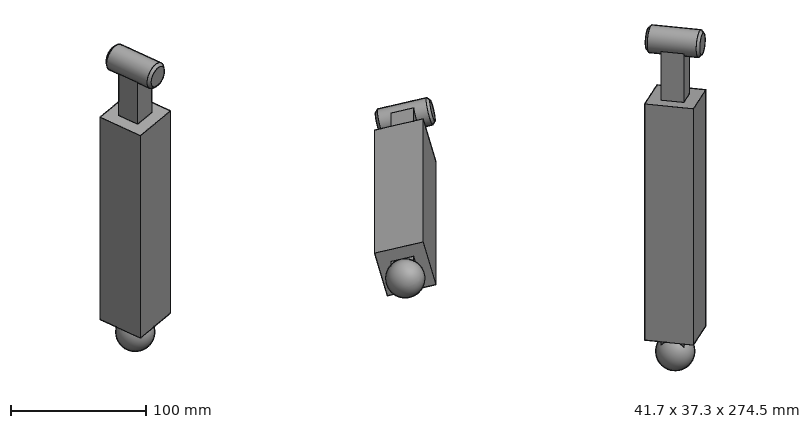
import cadquery as cq

total_height = 274.5
body_side = 37.3
body_bottom = 29.0
body_height = 190.3
stem_side = 17.5

ball_radius = 14.5

pin_length = 41.7
pin_radius = 10.5
pin_chamfer = 2.2

pin_axis_z = total_height - pin_radius

body = (
    cq.Workplane("XY")
    .workplane(offset=body_bottom)
    .rect(body_side, body_side)
    .extrude(body_height)
)

stem = (
    cq.Workplane("XY")
    .workplane(offset=ball_radius)
    .rect(stem_side, stem_side)
    .extrude(pin_axis_z - ball_radius)
)

ball = cq.Workplane("XY").sphere(ball_radius).translate((0, 0, ball_radius))

pin = (
    cq.Workplane("YZ")
    .workplane(offset=-pin_length / 2)
    .circle(pin_radius)
    .extrude(pin_length)
    .faces("<X or >X")
    .chamfer(pin_chamfer)
    .translate((0, 0, pin_axis_z))
)

result = body.union(stem).union(ball).union(pin)